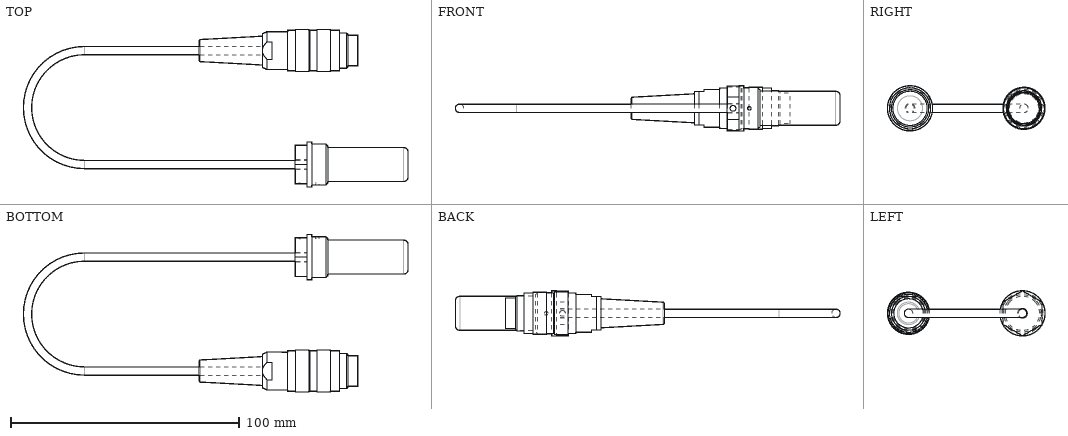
import cadquery as cq
import math

SENSOR_Y = 0.0
PLUG_Y = 50.0

CABLE_D = 3.7
BEND_R = (PLUG_Y - SENSOR_Y) / 2
BEND_X = BEND_R + CABLE_D / 2

HEX_X = 119.2
HEX_LENGTH = 5.2
HEX_FLATS = 17.0
FLANGE_D = 20.0
FLANGE_LENGTH = 2.2
COLLAR_D = 18.0
COLLAR_LENGTH = 7.0
COLLAR_CHAMFER = 0.8
TUBE_D = 15.0
TUBE_END_X = 168.8
TUBE_ROUND = 2.0
CABLE_ENTRY_D = 4.2

DIMPLE_D = 2.5
DIMPLE_DEPTH = 0.8
COLLAR_HOLE_X = 129.0
COLLAR_HOLE_D = 1.5
COLLAR_HOLE_DEPTH = 0.8

BOOT_X = 77.2
BOOT_SMALL_D = 9.8
BOOT_LARGE_D = 12.8
BOOT_ROUND = 0.7

NUT_X = 104.8
NUT_FACE_D = 14.9
NUT_D = 16.7
NUT_TAPER_LENGTH = 2.0
NUT_FLATS = 14.9
NUT_FLAT_LENGTH = 4.2

GRIP_D = 17.9
BAND_D = 18.5
BAND_LENGTH = 5.9
SLEEVE_X = 116.0
REAR_BAND_X = 119.4
PLUG_X = 125.8
FRONT_BAND_X = 128.8
GRIP_END_X = 138.8
SHOULDER_D = 15.5
SHOULDER_LENGTH = 3.5
SHOULDER_CHAMFER = 0.5
NOSE_D = 13.5
PLUG_END_X = 146.7


def rod(x_start, x_end, diameter, y):
    """Solid cylinder along X."""
    return (
        cq.Workplane("YZ", origin=(x_start, y, 0))
        .circle(diameter / 2)
        .extrude(x_end - x_start)
    )


def taper(x_start, x_end, start_d, end_d, y):
    """Solid truncated cone along X."""
    cone = cq.Solid.makeCone(
        start_d / 2, end_d / 2, x_end - x_start, cq.Vector(x_start, y, 0), cq.Vector(1, 0, 0)
    )
    return cq.Workplane(cone)


def side_cone(x, y_surface, diameter, depth):
    """Cone that cuts into a surface facing -Y."""
    cone = cq.Solid.makeCone(
        diameter / 2, 0, depth, cq.Vector(x, y_surface, 0), cq.Vector(0, 1, 0)
    )
    return cq.Workplane(cone)


def side_hole(x, y_surface, diameter, depth):
    """Flat-bottomed hole cutter that enters a surface facing -Y."""
    cylinder = cq.Solid.makeCylinder(
        diameter / 2, depth, cq.Vector(x, y_surface, 0), cq.Vector(0, 1, 0)
    )
    return cq.Workplane(cylinder)


def make_cable():
    """U-shaped cable that ends in the sensor housing and at the clamp nut."""
    path = (
        cq.Workplane("XY")
        .moveTo(HEX_X + HEX_LENGTH, SENSOR_Y)
        .lineTo(BEND_X, SENSOR_Y)
        .threePointArc((BEND_X - BEND_R, SENSOR_Y + BEND_R), (BEND_X, PLUG_Y))
        .lineTo(NUT_X, PLUG_Y)
    )
    return (
        cq.Workplane("YZ", origin=(HEX_X + HEX_LENGTH, SENSOR_Y, 0))
        .circle(CABLE_D / 2)
        .sweep(path)
    )


def make_sensor_housing():
    flange_x = HEX_X + HEX_LENGTH
    collar_x = flange_x + FLANGE_LENGTH
    collar_end_x = collar_x + COLLAR_LENGTH
    hex_corners = HEX_FLATS / math.cos(math.radians(30))

    tube = rod(collar_x, TUBE_END_X, TUBE_D, SENSOR_Y).faces(">X").edges().fillet(TUBE_ROUND)
    collar = rod(collar_x, collar_end_x, COLLAR_D, SENSOR_Y).faces(">X").edges().chamfer(COLLAR_CHAMFER)
    flange = rod(flange_x, collar_x, FLANGE_D, SENSOR_Y)
    hexagon = (
        cq.Workplane("YZ", origin=(HEX_X, SENSOR_Y, 0))
        .transformed(rotate=(0, 0, 90))
        .polygon(6, hex_corners)
        .extrude(HEX_LENGTH)
    )
    cable_entry = rod(HEX_X, flange_x, CABLE_ENTRY_D, SENSOR_Y)
    hex_dimple = side_cone(
        HEX_X + HEX_LENGTH / 2, SENSOR_Y - HEX_FLATS / 2, DIMPLE_D, DIMPLE_DEPTH
    )
    collar_hole = side_hole(
        COLLAR_HOLE_X, SENSOR_Y - COLLAR_D / 2, COLLAR_HOLE_D, COLLAR_HOLE_DEPTH
    )
    return (
        tube.union(collar).union(flange).union(hexagon)
        .cut(cable_entry).cut(hex_dimple).cut(collar_hole)
    )


def make_boot():
    """Tapered boot with a bore that fits the cable."""
    body = taper(BOOT_X, NUT_X, BOOT_SMALL_D, BOOT_LARGE_D, PLUG_Y)
    body = body.faces("<X").edges().fillet(BOOT_ROUND)
    return body.cut(rod(BOOT_X, NUT_X, CABLE_D, PLUG_Y))


def make_clamp_nut():
    """Round nut with a tapered rear end and two wrench flats facing +Z and -Z."""
    taper_end_x = NUT_X + NUT_TAPER_LENGTH
    body = taper(NUT_X, taper_end_x, NUT_FACE_D, NUT_D, PLUG_Y).union(
        rod(taper_end_x, SLEEVE_X, NUT_D, PLUG_Y)
    )
    flat_depth = (NUT_D - NUT_FLATS) / 2
    for side in (1, -1):
        flat_cutter = cq.Workplane("XY").box(
            NUT_FLAT_LENGTH, NUT_D, flat_depth, centered=(False, True, True)
        ).translate((NUT_X, PLUG_Y, side * (NUT_FLATS + flat_depth) / 2))
        body = body.cut(flat_cutter)
    return body


def make_grip(x_start, x_end, band_x):
    """Cylinder with one raised grip band."""
    return rod(x_start, x_end, GRIP_D, PLUG_Y).union(
        rod(band_x, band_x + BAND_LENGTH, BAND_D, PLUG_Y)
    )


def make_rear_sleeve():
    return make_grip(SLEEVE_X, PLUG_X, REAR_BAND_X)


def make_plug():
    """Front grip, chamfered shoulder and nose of the connector."""
    shoulder_end_x = GRIP_END_X + SHOULDER_LENGTH
    shoulder = rod(GRIP_END_X, shoulder_end_x, SHOULDER_D, PLUG_Y)
    shoulder = shoulder.faces(">X").edges().chamfer(SHOULDER_CHAMFER)
    nose = rod(shoulder_end_x, PLUG_END_X, NOSE_D, PLUG_Y)
    return make_grip(PLUG_X, GRIP_END_X, FRONT_BAND_X).union(shoulder).union(nose)


cable = make_cable()
sensor_housing = make_sensor_housing()
boot = make_boot()
clamp_nut = make_clamp_nut()
rear_sleeve = make_rear_sleeve()
plug = make_plug()

result = cq.Compound.makeCompound([
    cable.val(),
    sensor_housing.val(),
    boot.val(),
    clamp_nut.val(),
    rear_sleeve.val(),
    plug.val(),
])